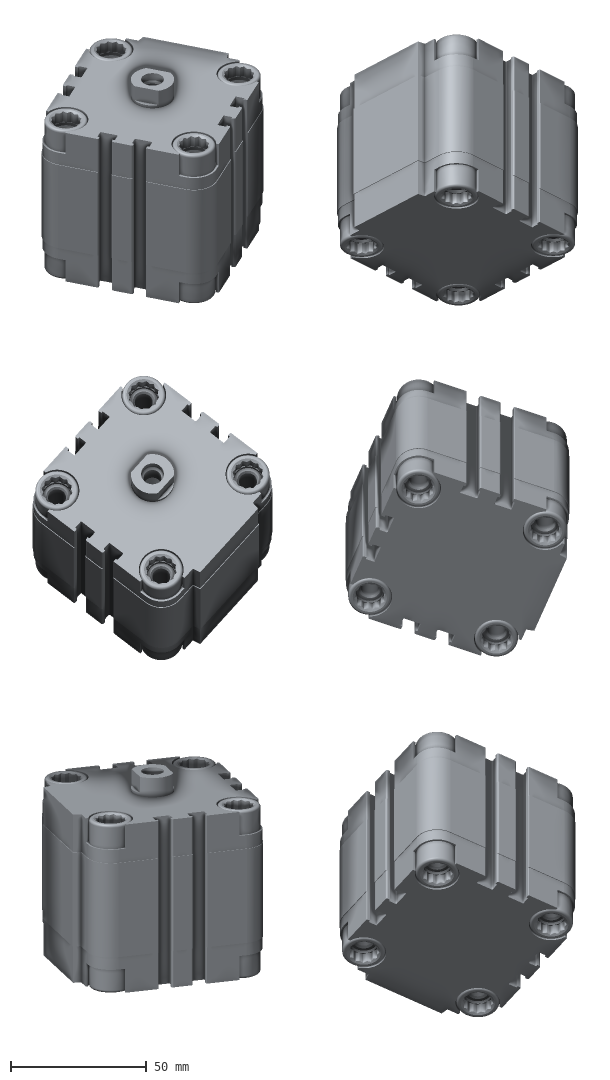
import cadquery as cq
import math

TOTAL_HEIGHT = 73.0

WIDTH = 68.0
HOUSING_HEIGHT = 65.5
LOWER_CAP_HEIGHT = 14.2
UPPER_CAP_HEIGHT = 14.6
CAP_INSET = 0.25
BACK_RIB_HEIGHT = 3.0
BACK_RIB_BASE = 35.05
BACK_RIB_TOP = 33.9

SLOT_SPACING = 13.5
SLOT_OPENING = 5.2
SLOT_WIDTH = 6.8
SLOT_DEPTH = 5.05
SLOT_LIP = 1.7
TEE_FILLET = 0.45
MOUTH_INNER_FILLET = 0.65
MOUTH_OUTER_FILLET = 0.3

SCREW_SPACING = 50.0
HEAD_DIAMETER = 16.0
HEAD_FILLET = 1.0
HEAD_POCKET_DIAMETER = 16.5
CORNER_CUT = 11.8
CORNER_CUT_DEPTH = 9.35
LEAD_IN_DIAMETER = 12.6
LEAD_IN_DEPTH = 0.7
STAR_FLATS = 10.0
HEXAGON_TURN = 30
STAR_DEPTH = 4.75
SOCKET_DIAMETER = 10.4
SOCKET_DEPTH = 6.05
THROAT_DIAMETER = 8.0
THROAT_TAPER_DEPTH = 0.7
SCREW_HOLE_DIAMETER = 6.65

ROD_DIAMETER = 16.0
ROD_FLATS = 13.0
ROD_FLAT_HEIGHT = 6.3
ROD_HOLE_MOUTH = 8.4
ROD_HOLE_DIAMETER = 6.65
ROD_MOUTH_DEPTH = 3.15
ROD_HOLE_DEPTH = 10.95
DRILL_POINT_ANGLE = 118

HALF = WIDTH / 2
CORNER_RADIUS = (WIDTH - SCREW_SPACING) / 2
BARREL_HEIGHT = HOUSING_HEIGHT - LOWER_CAP_HEIGHT - UPPER_CAP_HEIGHT
BARREL_TOP = LOWER_CAP_HEIGHT + BARREL_HEIGHT
CUT_MARGIN = 0.7
SCREW_CENTERS = [
    (x_side * SCREW_SPACING / 2, y_side * SCREW_SPACING / 2) for x_side in (-1, 1) for y_side in (-1, 1)
]


def cylinder(diameter, bottom, height):
    return cq.Workplane("XY", origin=(0, 0, bottom)).circle(diameter / 2).extrude(height)


def profile_block(inset, bottom, height):
    """Rounded square with the tapered back rib, its outer faces moved inwards by inset."""
    half = HALF - inset
    square = (
        cq.Workplane("XY", origin=(0, 0, bottom))
        .rect(2 * half, 2 * half)
        .extrude(height)
        .edges("|Z")
        .fillet(CORNER_RADIUS - inset)
    )
    half_base = BACK_RIB_BASE / 2 - inset
    half_top = BACK_RIB_TOP / 2 - inset
    rib_outline = [
        (-half_base, 0),
        (-half_base, half),
        (-half_top, half + BACK_RIB_HEIGHT),
        (half_top, half + BACK_RIB_HEIGHT),
        (half_base, half),
        (half_base, 0),
    ]
    rib = cq.Workplane("XY", origin=(0, 0, bottom)).polyline(rib_outline).close().extrude(height)
    return square.union(rib)


def slot_cutter(side, inset):
    """T-slot cutter in the front face, on the given side (-1 or 1) of its middle.

    The mouth is rounded where it meets a face moved inwards by inset.
    """
    center = SLOT_SPACING / 2
    mouth_inner = center - SLOT_OPENING / 2
    mouth_outer = center + SLOT_OPENING / 2
    tee_inner = center - SLOT_WIDTH / 2
    tee_outer = center + SLOT_WIDTH / 2
    face = inset - HALF
    outside = face - CUT_MARGIN
    lip = SLOT_LIP - HALF
    floor = SLOT_DEPTH - HALF
    outline = (
        cq.Workplane("XY")
        .moveTo(side * (mouth_inner - MOUTH_INNER_FILLET), outside)
        .lineTo(side * (mouth_inner - MOUTH_INNER_FILLET), face)
        .radiusArc((side * mouth_inner, face + MOUTH_INNER_FILLET), side * -MOUTH_INNER_FILLET)
        .lineTo(side * mouth_inner, lip)
        .lineTo(side * (tee_inner + TEE_FILLET), lip)
        .radiusArc((side * tee_inner, lip + TEE_FILLET), side * TEE_FILLET)
        .lineTo(side * tee_inner, floor - TEE_FILLET)
        .radiusArc((side * (tee_inner + TEE_FILLET), floor), side * TEE_FILLET)
        .lineTo(side * tee_outer, floor)
        .lineTo(side * tee_outer, lip)
        .lineTo(side * mouth_outer, lip)
        .lineTo(side * mouth_outer, face + MOUTH_OUTER_FILLET)
        .radiusArc((side * (mouth_outer + MOUTH_OUTER_FILLET), face), side * -MOUTH_OUTER_FILLET)
        .lineTo(side * (mouth_outer + MOUTH_OUTER_FILLET), outside)
        .close()
    )
    return outline.extrude(HOUSING_HEIGHT)


def screw_head():
    """Round screw head on the Z axis, its top face on Z = 0 and its top edge rounded."""
    head = cylinder(HEAD_DIAMETER, -CORNER_CUT_DEPTH, CORNER_CUT_DEPTH)
    return head.faces(">Z").edges().fillet(HEAD_FILLET)


def corner_recess():
    """Space round the screw head of the +X +Y corner, with the head on the Z axis."""
    reach = CORNER_RADIUS + CUT_MARGIN
    inner = CORNER_RADIUS - CORNER_CUT
    size = reach - inner
    block = cq.Workplane("XY").box(size, size, CORNER_CUT_DEPTH, centered=False)
    block = block.translate((inner, inner, -CORNER_CUT_DEPTH))
    pocket = cylinder(HEAD_POCKET_DIAMETER, -CORNER_CUT_DEPTH, CORNER_CUT_DEPTH)
    return block.union(pocket).cut(screw_head())


def screw_socket():
    """Twelve-point socket below Z = 0, tapering into the hole through the corner."""
    half_height = HOUSING_HEIGHT / 2
    turned = (
        cq.Workplane("XZ")
        .moveTo(0, 0)
        .lineTo(LEAD_IN_DIAMETER / 2, 0)
        .lineTo(STAR_FLATS / 2, -LEAD_IN_DEPTH)
        .lineTo(STAR_FLATS / 2, -STAR_DEPTH)
        .lineTo(SOCKET_DIAMETER / 2, -STAR_DEPTH)
        .lineTo(SOCKET_DIAMETER / 2, -SOCKET_DEPTH)
        .lineTo(THROAT_DIAMETER / 2, -SOCKET_DEPTH)
        .lineTo(SCREW_HOLE_DIAMETER / 2, -SOCKET_DEPTH - THROAT_TAPER_DEPTH)
        .lineTo(SCREW_HOLE_DIAMETER / 2, -half_height)
        .lineTo(0, -half_height)
        .close()
        .revolve(360, (0, 0, 0), (0, 1, 0))
    )
    hexagon = cq.Workplane("XY").polygon(6, STAR_FLATS, circumscribed=True).extrude(-STAR_DEPTH)
    return turned.union(hexagon).union(hexagon.rotate((0, 0, 0), (0, 0, 1), HEXAGON_TURN))


def at_both_ends(cutter, center):
    """Copies of a cutter made for the +X +Y upper corner, at the upper and lower ends of one corner."""
    if center[0] < 0:
        cutter = cutter.mirror("YZ")
    if center[1] < 0:
        cutter = cutter.mirror("XZ")
    return [
        cutter.translate((*center, HOUSING_HEIGHT)),
        cutter.mirror("XY").translate((*center, 0)),
    ]


def housing_section(inset, bottom, height):
    """One length of the housing with its T-slots cut."""
    section = profile_block(inset, bottom, height)
    for face_angle in (-90, 0, 90):
        for side in (-1, 1):
            section = section.cut(slot_cutter(side, inset).rotate((0, 0, 0), (0, 0, 1), face_angle))
    return section


def make_housing():
    housing = (
        housing_section(CAP_INSET, 0, LOWER_CAP_HEIGHT)
        .union(housing_section(0, LOWER_CAP_HEIGHT, BARREL_HEIGHT))
        .union(housing_section(CAP_INSET, BARREL_TOP, UPPER_CAP_HEIGHT))
    )
    for center in SCREW_CENTERS:
        for cutter in at_both_ends(corner_recess(), center) + at_both_ends(screw_socket(), center):
            housing = housing.cut(cutter)
    return housing.cut(cylinder(ROD_DIAMETER, BARREL_TOP, UPPER_CAP_HEIGHT))


def make_rod():
    """Rod seated in the upper cap, with two wrench flats and a drilled hole in its end."""
    flat_bottom = TOTAL_HEIGHT - ROD_FLAT_HEIGHT
    rod = cylinder(ROD_DIAMETER, BARREL_TOP, TOTAL_HEIGHT - BARREL_TOP)
    flat_tip = (
        cq.Workplane("XY", origin=(0, 0, flat_bottom))
        .rect(ROD_DIAMETER, ROD_FLATS)
        .extrude(ROD_FLAT_HEIGHT)
    )
    round_tip = cylinder(ROD_DIAMETER, flat_bottom, ROD_FLAT_HEIGHT)
    rod = rod.cut(round_tip.cut(flat_tip))

    mouth_radius = ROD_HOLE_MOUTH / 2
    hole_radius = ROD_HOLE_DIAMETER / 2
    taper_end = ROD_MOUTH_DEPTH + mouth_radius - hole_radius
    point_length = hole_radius / math.tan(math.radians(DRILL_POINT_ANGLE / 2))
    hole = (
        cq.Workplane("XZ", origin=(0, 0, TOTAL_HEIGHT))
        .moveTo(0, 0)
        .lineTo(mouth_radius, 0)
        .lineTo(mouth_radius, -ROD_MOUTH_DEPTH)
        .lineTo(hole_radius, -taper_end)
        .lineTo(hole_radius, -ROD_HOLE_DEPTH)
        .lineTo(0, -ROD_HOLE_DEPTH - point_length)
        .close()
        .revolve(360, (0, 0, 0), (0, 1, 0))
    )
    return rod.cut(hole)


housing = make_housing()
rod = make_rod()
result = cq.Compound.makeCompound([housing.val(), rod.val()])